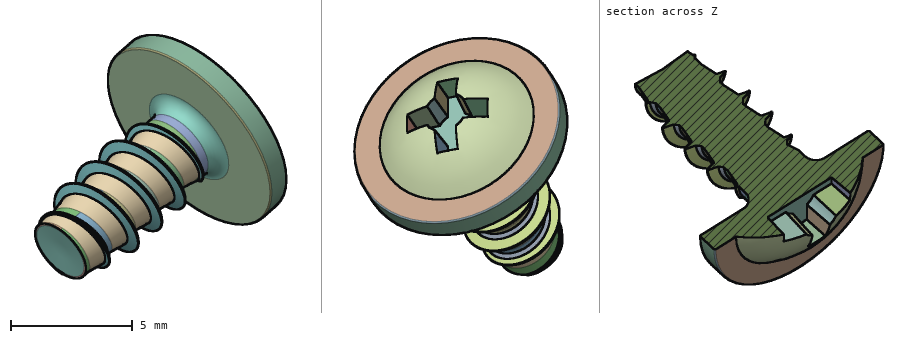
import cadquery as cq
import math


flange_radius = 4.5
flange_thickness = 1.0
flange_edge_fillet = 0.06
dome_sphere_radius = 4.516
dome_base_radius = 3.37

recess_depth = 1.5
wing_reach = 1.78
wing_half_width = 0.47
recess_core_radius = 0.92
recess_draft = 3.5

shank_length = 8.0
neck_radius = 1.58
neck_fillet = 0.6
neck_length = 1.0
neck_cone_length = 0.6
root_radius = 1.4
tip_dish_radius = 1.3
tip_dish_depth = 0.09

pitch = 1.46
first_crest_depth = 1.075
first_turn = -0.25
last_turn = 5.0
sections_per_turn = 12
major_radius = 2.02
start_crest_radius = 1.64
full_crest_turn = 1.0
fade_start_turn = 3.25
fade_end_turn = 4.75
faded_crest_radius = 1.44
crest_half_width = 0.03
shoulder_radius = 1.55
flank_run = 0.12
head_side_run = 0.18
ramp_length = 0.78
thread_embed = 0.012

dome_center = flange_thickness - math.sqrt(dome_sphere_radius**2 - dome_base_radius**2)
dome_top = dome_center + dome_sphere_radius
flank_slope = flank_run / (major_radius - shoulder_radius)


def arc_middle(center_x, center_y, radius, angle_a, angle_b):
    """Point on an arc halfway between two angles in degrees."""
    angle = math.radians((angle_a + angle_b) / 2)
    return (center_x + radius * math.cos(angle), center_y + radius * math.sin(angle))


def revolve_about_y(profile):
    """Close a half-profile and turn it a full circle about the Y axis."""
    return profile.close().revolve(360, (0, 0, 0), (0, 1, 0))


def make_head():
    flange = cq.Workplane("XZ").circle(flange_radius).extrude(-flange_thickness)
    flange = flange.edges().fillet(flange_edge_fillet)
    base_angle = math.degrees(math.acos(dome_base_radius / dome_sphere_radius))
    dome = revolve_about_y(
        cq.Workplane("ZY")
        .lineTo(dome_base_radius, 0)
        .lineTo(dome_base_radius, flange_thickness)
        .threePointArc(arc_middle(0, dome_center, dome_sphere_radius, base_angle, 90), (0, dome_top))
    )
    return flange.union(dome)


def make_recess():
    mouth = cq.Workplane("XZ", origin=(0, dome_top, 0))
    recess = mouth.circle(recess_core_radius).extrude(recess_depth, taper=recess_draft)
    for length, width in ((wing_reach, wing_half_width), (wing_half_width, wing_reach)):
        wing = mouth.rect(2 * length, 2 * width).extrude(recess_depth, taper=recess_draft)
        recess = recess.union(wing)
    return recess


def make_shank():
    fillet_center = (neck_radius + neck_fillet, -neck_fillet)
    return revolve_about_y(
        cq.Workplane("ZY")
        .moveTo(0, flange_thickness / 2)
        .lineTo(fillet_center[0], flange_thickness / 2)
        .lineTo(fillet_center[0], 0)
        .threePointArc(arc_middle(*fillet_center, neck_fillet, 90, 180), (neck_radius, -neck_fillet))
        .lineTo(neck_radius, -neck_length)
        .lineTo(root_radius, -neck_length - neck_cone_length)
        .lineTo(root_radius, -shank_length)
        .lineTo(0, -shank_length)
    )


def make_tip_dish():
    return revolve_about_y(
        cq.Workplane("ZY")
        .moveTo(0, -shank_length)
        .lineTo(tip_dish_radius, -shank_length)
        .lineTo(0, -shank_length + tip_dish_depth)
    )


def crest_radius(turn):
    """Crest rises at the head end, stays full, then sinks almost to the root at the tip."""
    rise = (turn - first_turn) / (full_crest_turn - first_turn)
    fall = (fade_end_turn - turn) / (fade_end_turn - fade_start_turn)
    at_head = start_crest_radius + (major_radius - start_crest_radius) * rise
    at_tip = root_radius + (major_radius - root_radius) * fall
    return min(major_radius, at_head, max(at_tip, faded_crest_radius))


def thread_section(turn):
    """Closed radial section of the thread at a given turn."""
    crest = crest_radius(turn)
    shoulder = min(shoulder_radius, (crest + root_radius) / 2)
    shoulder_offset = crest_half_width + (crest - shoulder) * flank_slope
    foot = root_radius - thread_embed
    run_on = (shoulder - foot) / (shoulder_radius - root_radius)
    outline = [
        (foot, -shoulder_offset - head_side_run * run_on),
        (shoulder, -shoulder_offset),
        (crest, -crest_half_width),
        (crest, crest_half_width),
        (shoulder, shoulder_offset),
        (foot, shoulder_offset + ramp_length * run_on),
    ]
    angle = 2 * math.pi * turn
    crest_y = -first_crest_depth - pitch * turn
    points = [
        cq.Vector(radius * math.cos(angle), crest_y - offset, radius * math.sin(angle))
        for radius, offset in outline
    ]
    return cq.Wire.makePolygon(points, close=True)


def make_thread():
    count = round((last_turn - first_turn) * sections_per_turn)
    sections = [thread_section(first_turn + i / sections_per_turn) for i in range(count + 1)]
    thread = cq.Workplane(obj=cq.Solid.makeLoft(sections))
    threaded_zone = (
        cq.Workplane("XZ", origin=(0, -neck_length, 0))
        .circle(flange_radius)
        .extrude(shank_length - neck_length)
    )
    return thread.intersect(threaded_zone)


head = make_head().cut(make_recess())
shank = make_shank().union(make_thread()).cut(make_tip_dish())
result = head.union(shank)